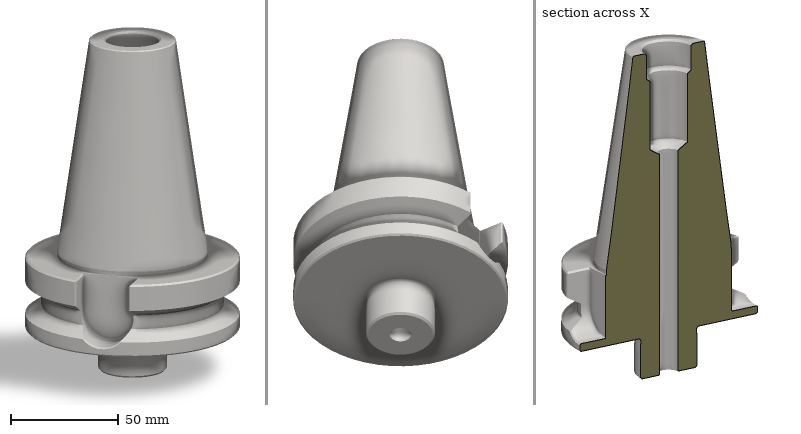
import cadquery as cq
import math

TOTAL_HEIGHT = 159.8
FLANGE_BOTTOM = 20.0
FLANGE_TOP = 55.0
GAUGE_HEIGHT = 57.2

GAUGE_RADIUS = 35.2
TAPER_RATIO = 7 / 48
TAPER_END_RADIUS = GAUGE_RADIUS - (TOTAL_HEIGHT - GAUGE_HEIGHT) * TAPER_RATIO
NECK_TOP = 56.2
NECK_RELIEF = 0.2
SHANK_CHAMFER = 0.5

FLANGE_RADIUS = 50.0
FLANGE_CHAMFER = 0.8
GROOVE_ROOT_RADIUS = 42.5
GROOVE_CENTRE = 34.8
GROOVE_ROOT_WIDTH = 6.7
GROOVE_ANGLE = 60
GROOVE_FLANK_HEIGHT = (FLANGE_RADIUS - GROOVE_ROOT_RADIUS) * math.tan(math.radians(GROOVE_ANGLE / 2))

PILOT_RADIUS = 16
PILOT_CHAMFER = 1.0
PILOT_FILLET = 1.3
RELIEF_START = 14.9
RELIEF_END = 18.2
RELIEF_DEPTH = 0.2

KEYWAY_WIDTH = 25.7
KEYWAY_FLOOR = 35.5
KEYWAY_BOTTOM = 24
KEYWAY_CHAMFER = 0.8
KEYWAY_FLOOR_FILLET = 0.5

KEYWAY_RIM_CHAMFER = 0.6

COUNTERBORE_RADIUS = 12.5
COUNTERBORE_DEPTH = 12.8
COUNTERBORE_CHAMFER = 1.0
LEDGE_DROP = 1.6
THREAD_BORE_RADIUS = 10.4
THREAD_BORE_DEPTH = 48
THROUGH_RADIUS = 5.03
DRILL_POINT_ANGLE = 118


def make_body():
    """Revolve the shank, flange and pilot as one solid."""
    root_low = GROOVE_CENTRE - GROOVE_ROOT_WIDTH / 2
    root_high = GROOVE_CENTRE + GROOVE_ROOT_WIDTH / 2
    neck_radius = GAUGE_RADIUS - NECK_RELIEF
    end_chamfer_radius = TAPER_END_RADIUS + SHANK_CHAMFER * TAPER_RATIO
    relief_radius = PILOT_RADIUS - RELIEF_DEPTH
    fillet_drop = PILOT_FILLET * math.sqrt(0.5)
    return (
        cq.Workplane("XZ")
        .lineTo(PILOT_RADIUS - PILOT_CHAMFER, 0)
        .lineTo(PILOT_RADIUS, PILOT_CHAMFER)
        .lineTo(PILOT_RADIUS, RELIEF_START)
        .lineTo(relief_radius, RELIEF_END)
        .lineTo(relief_radius, FLANGE_BOTTOM - PILOT_FILLET)
        .threePointArc(
            (
                relief_radius + PILOT_FILLET - fillet_drop,
                FLANGE_BOTTOM - PILOT_FILLET + fillet_drop,
            ),
            (relief_radius + PILOT_FILLET, FLANGE_BOTTOM),
        )
        .lineTo(FLANGE_RADIUS - FLANGE_CHAMFER, FLANGE_BOTTOM)
        .lineTo(FLANGE_RADIUS, FLANGE_BOTTOM + FLANGE_CHAMFER)
        .lineTo(FLANGE_RADIUS, root_low - GROOVE_FLANK_HEIGHT)
        .lineTo(GROOVE_ROOT_RADIUS, root_low)
        .lineTo(GROOVE_ROOT_RADIUS, root_high)
        .lineTo(FLANGE_RADIUS, root_high + GROOVE_FLANK_HEIGHT)
        .lineTo(FLANGE_RADIUS, FLANGE_TOP - FLANGE_CHAMFER)
        .lineTo(FLANGE_RADIUS - FLANGE_CHAMFER, FLANGE_TOP)
        .lineTo(neck_radius, FLANGE_TOP)
        .lineTo(neck_radius, NECK_TOP)
        .lineTo(GAUGE_RADIUS, GAUGE_HEIGHT)
        .lineTo(end_chamfer_radius, TOTAL_HEIGHT - SHANK_CHAMFER)
        .lineTo(TAPER_END_RADIUS - SHANK_CHAMFER, TOTAL_HEIGHT)
        .lineTo(0, TOTAL_HEIGHT)
        .close()
        .revolve(360, (0, 0, 0), (0, 1, 0))
    )


def make_keyway_slot():
    """Cutter for the round-bottomed keyway on the -Y side."""
    half_width = KEYWAY_WIDTH / 2
    arc_centre = KEYWAY_BOTTOM + half_width
    depth = FLANGE_RADIUS - KEYWAY_FLOOR
    cutter_top = FLANGE_TOP + 2 * KEYWAY_CHAMFER
    return (
        cq.Workplane("XZ", origin=(0, -KEYWAY_FLOOR, 0))
        .moveTo(-half_width, cutter_top)
        .lineTo(-half_width, arc_centre)
        .threePointArc((0, KEYWAY_BOTTOM), (half_width, arc_centre))
        .lineTo(half_width, cutter_top)
        .close()
        .extrude(depth)
        .faces(">Y")
        .edges("not >Z")
        .fillet(KEYWAY_FLOOR_FILLET)
    )


def make_keyway_top_break():
    """Flared cutter that breaks the top edges of the side walls of the -Y keyway."""
    half_width = KEYWAY_WIDTH / 2
    depth = FLANGE_RADIUS - KEYWAY_FLOOR
    return (
        cq.Workplane("XZ", origin=(0, -KEYWAY_FLOOR, 0))
        .moveTo(-half_width, FLANGE_TOP - KEYWAY_CHAMFER)
        .lineTo(half_width, FLANGE_TOP - KEYWAY_CHAMFER)
        .lineTo(half_width + KEYWAY_CHAMFER, FLANGE_TOP)
        .lineTo(-half_width - KEYWAY_CHAMFER, FLANGE_TOP)
        .close()
        .extrude(depth)
    )


def make_bore():
    """Cutter for the through hole, thread bore and counterbore."""
    thread_floor = TOTAL_HEIGHT - THREAD_BORE_DEPTH
    counterbore_floor = TOTAL_HEIGHT - COUNTERBORE_DEPTH
    point_slope = math.tan(math.radians(DRILL_POINT_ANGLE / 2))
    point_height = (THREAD_BORE_RADIUS - THROUGH_RADIUS) / point_slope
    return (
        cq.Workplane("XZ")
        .lineTo(THROUGH_RADIUS, 0)
        .lineTo(THROUGH_RADIUS, thread_floor - point_height)
        .lineTo(THREAD_BORE_RADIUS, thread_floor)
        .lineTo(THREAD_BORE_RADIUS, counterbore_floor - LEDGE_DROP)
        .lineTo(COUNTERBORE_RADIUS, counterbore_floor)
        .lineTo(COUNTERBORE_RADIUS, TOTAL_HEIGHT - COUNTERBORE_CHAMFER)
        .lineTo(COUNTERBORE_RADIUS + COUNTERBORE_CHAMFER, TOTAL_HEIGHT)
        .lineTo(0, TOTAL_HEIGHT)
        .close()
        .revolve(360, (0, 0, 0), (0, 1, 0))
    )


def make_rim_edge_box(side):
    """Box selector for the keyway edges on the flange rim; side is -1 or 1 along Y."""
    margin = KEYWAY_CHAMFER
    half_width = KEYWAY_WIDTH / 2
    edge_distance = math.sqrt(FLANGE_RADIUS**2 - half_width**2)
    return cq.selectors.BoxSelector(
        (-half_width - margin, side * (edge_distance - margin), KEYWAY_BOTTOM - margin),
        (half_width + margin, side * (FLANGE_RADIUS + margin), FLANGE_TOP),
        boundingbox=True,
    )


result = make_body().cut(make_bore())
for angle in (0, 180):
    result = result.cut(make_keyway_slot().rotate((0, 0, 0), (0, 0, 1), angle))
for side in (-1, 1):
    result = result.edges(make_rim_edge_box(side)).chamfer(KEYWAY_RIM_CHAMFER)
for angle in (0, 180):
    result = result.cut(make_keyway_top_break().rotate((0, 0, 0), (0, 0, 1), angle))